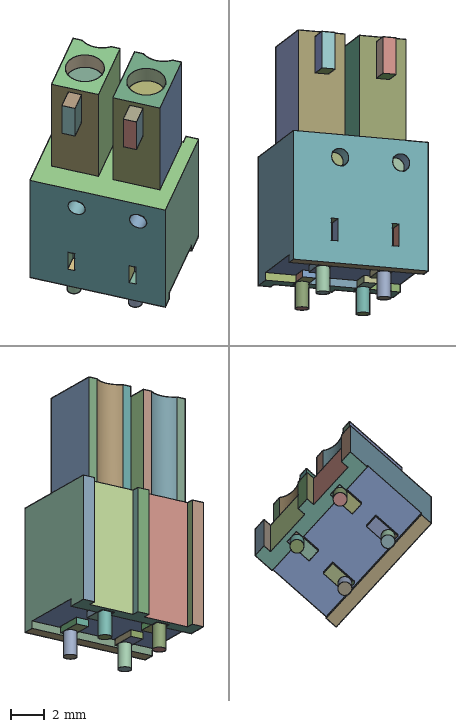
import cadquery as cq


pitch = 3.81
pole_xs = [-pitch / 2, pitch / 2]

housing_width = 8.41
housing_depth = 6.45
housing_height = 7.87
front_y = -housing_depth / 2
back_y = housing_depth / 2

channel_width = 3.02
channel_depth = 0.52

recess_height = 0.47
front_rail = 0.80
back_rail = 1.36

tower_width = 2.92
tower_depth = 4.18
tower_height = 6.62
tower_back_y = back_y - 0.70
tower_front_y = tower_back_y - tower_depth
tower_top_z = housing_height + tower_height
wire_hole_diameter = 2.30
wire_hole_depth = 1.0
wire_hole_y = back_y - 2.96

groove_chord = 1.80
groove_depth = 0.33

tab_width = 0.82
tab_height = 2.24
tab_reach = 1.25
tab_below_top = 0.31

test_hole_diameter = 1.06
test_hole_depth = 1.0
test_hole_offset = 0.61
test_hole_z = 6.49
slot_width = 0.42
slot_height = 1.36
slot_depth = 1.0
slot_offset = 0.27
slot_bottom_z = 1.36

pin_diameter = 0.82
pin_drop = 1.51
back_pin_y = back_y - 1.26
front_pin_y = back_pin_y - pitch
foot_length = 1.75
foot_height = 0.42


def box(x_centre, width, y_min, y_max, z_min, z_max):
    """Upright box centred on x_centre and spanning the given Y and Z ranges."""
    return (
        cq.Workplane("XY")
        .box(width, y_max - y_min, z_max - z_min, centered=(True, False, False))
        .translate((x_centre, y_min, z_min))
    )


def tower(x):
    """Wire tower with a blind wire hole, a grooved back and a front tab."""
    body = box(x, tower_width, tower_front_y, tower_back_y, housing_height, tower_top_z)
    wire_hole = (
        cq.Workplane("XY", origin=(x, wire_hole_y, tower_top_z))
        .circle(wire_hole_diameter / 2)
        .extrude(-wire_hole_depth)
    )
    half_chord = groove_chord / 2
    groove = (
        cq.Workplane("XY", origin=(x, tower_back_y, housing_height))
        .moveTo(-half_chord, 0)
        .threePointArc((0, -groove_depth), (half_chord, 0))
        .close()
        .extrude(tower_height)
    )
    tab_top_z = tower_top_z - tab_below_top
    tab = box(x, tab_width, tower_front_y - tab_reach, tower_front_y, tab_top_z - tab_height, tab_top_z)
    return body.cut(wire_hole).cut(groove).union(tab)


def test_hole(x):
    """Round blind hole entering the front face."""
    return (
        cq.Workplane("XZ", origin=(x + test_hole_offset, front_y, test_hole_z))
        .circle(test_hole_diameter / 2)
        .extrude(-test_hole_depth)
    )


def slot(x):
    """Narrow upright blind slot in the front face."""
    slot_top_z = slot_bottom_z + slot_height
    return box(x + slot_offset, slot_width, front_y, front_y + slot_depth, slot_bottom_z, slot_top_z)


def foot_span(pin_y, inward):
    """Y range of a foot; inward is the direction from its pin to the middle of the block."""
    outer_y = pin_y - inward * pin_diameter / 2
    inner_y = outer_y + inward * foot_length
    return min(outer_y, inner_y), max(outer_y, inner_y)


def solder_pin(x, pin_y, inward):
    """Flat foot under the recess roof with a round pin through its outer end."""
    y_min, y_max = foot_span(pin_y, inward)
    foot = box(x, pin_diameter, y_min, y_max, recess_height - foot_height, recess_height)
    pin = (
        cq.Workplane("XY", origin=(x, pin_y, -pin_drop))
        .circle(pin_diameter / 2)
        .extrude(pin_drop + recess_height)
    )
    return foot.union(pin)


def foot_pocket(x, pin_y, inward):
    """Clearance that lets a foot and its pin reach into the rail beside the recess."""
    y_min, y_max = foot_span(pin_y, inward)
    return box(x, pin_diameter, y_min, y_max, 0, recess_height)


pin_rows = [(front_pin_y, 1), (back_pin_y, -1)]

housing = box(0, housing_width, front_y, back_y, 0, housing_height)
housing = housing.cut(box(0, housing_width, front_y + front_rail, back_y - back_rail, 0, recess_height))
for pole_x in pole_xs:
    housing = housing.cut(box(pole_x, channel_width, back_y - channel_depth, back_y, 0, housing_height))
    housing = housing.cut(test_hole(pole_x)).cut(slot(pole_x))
    for row_y, row_inward in pin_rows:
        housing = housing.cut(foot_pocket(pole_x, row_y, row_inward))
    housing = housing.union(tower(pole_x))

solder_pins = []
for pole_x in pole_xs:
    for row_y, row_inward in pin_rows:
        solder_pins.append(solder_pin(pole_x, row_y, row_inward))

result = cq.Compound.makeCompound([housing.val(), *[pin.val() for pin in solder_pins]])